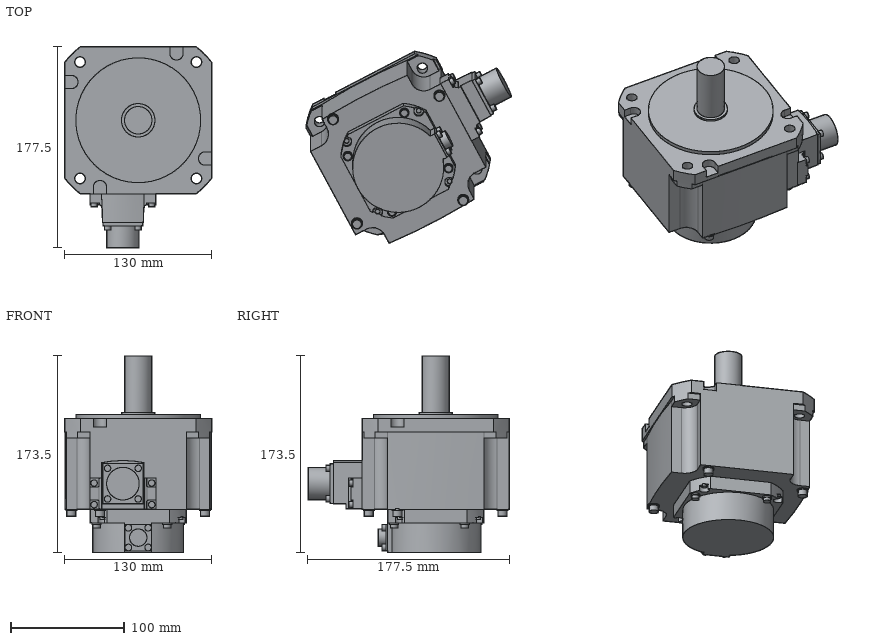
import cadquery as cq
import math


OVERALL_DEPTH = 177.5
OVERALL_HEIGHT = 173.5

FLANGE_WIDTH = 130.0
FLANGE_THICKNESS = 11.9
FLANGE_CORNER_RADIUS = 82.5
PILOT_RADIUS = 55.0
PILOT_HEIGHT = 3.5
COLLAR_RADIUS = 14.7
COLLAR_HEIGHT = 1.8
SHAFT_RADIUS = 12.0
SHAFT_LENGTH = 55.2
MOUNT_HOLE_OFFSET = 51.3
MOUNT_HOLE_DIAMETER = 9.0

BODY_BOTTOM = -80.2
BODY_MIDDLE_HALF = 64.6
BODY_EDGE_HALF = 63.0
SIDE_FACE_HALF = 42.5
RECESS_TOP = -17.4
RECESS_RADIUS = 11.7

TIE_BOLT_ACROSS = 33.7
TIE_BOLT_OUT = 59.0
TIE_SLOT_WIDTH = 11.7
TIE_SLOT_DEPTH = 7.6
TIE_HEAD_DIAMETER = 8.2
TIE_HEAD_HEIGHT = 6.0
TIE_WASHER_DIAMETER = 9.8
TIE_WASHER_HEIGHT = 1.0

ENCODER_FLANGE_BOTTOM = -92.1
ENCODER_CORNER_RADIUS = 50.5
COVER_BOTTOM = SHAFT_LENGTH - OVERALL_HEIGHT
COVER_RADIUS = 40.1
COVER_SCREW = (-36.7, -25.5)
COVER_HEAD_DIAMETER = 6.5
COVER_HEAD_HEIGHT = 4.3
COVER_WASHER_DIAMETER = 8.2
COVER_WASHER_HEIGHT = 1.5
NOTCH_CENTRE = (-31.6, -37.3)
NOTCH_DIAMETER = 8.5
NOTCH_DEPTH = 4.8
NOTCH_SCREW_DIAMETER = 4.3
NOTCH_SCREW_HEIGHT = 1.6

ENCODER_PAD_WIDTH = 23.8
ENCODER_PLATE_WIDTH = 23.5
ENCODER_PLATE_THICKNESS = 1.6
ENCODER_PLUG_Z = -105.0
ENCODER_PLUG_RADIUS = 7.6
ENCODER_PLUG_REACH = 8.3
ENCODER_SCREW_OFFSET = 8.7
ENCODER_HEAD_DIAMETER = 5.9
ENCODER_HEAD_HEIGHT = 3.4

POWER_X = -13.5
POWER_BOTTOM = -79.7
EAR_HALF_LENGTH = 29.1
EAR_TOP = -52.7
EAR_FRONT = -74.5
EAR_FILLET = 2.3
EAR_POCKET_WIDTH = 8.3
EAR_POCKET_HEIGHT = 7.8
EAR_POCKET_DEPTH = 1.8
EAR_POCKET_RADIUS = 2.1
EAR_SCREW_OFFSET = 25.4
EAR_SCREW_HEIGHTS = (-57.0, -76.0)
EAR_HEAD_DIAMETER = 5.7
EAR_HEAD_HEIGHT = 3.5
HOUSING_ROOT_HALF = 18.8
HOUSING_FRONT_HALF = 18.1
HOUSING_FRONT = -90.2
HOUSING_SHOULDER = -39.0
HOUSING_CROWN = -37.1
UNDERCUT_START = -79.2
UNDERCUT_TOP = -75.3
PLUG_Z = -57.5
PLUG_PLATE_WIDTH = 35.1
PLUG_PLATE_THICKNESS = 2.8
PLUG_RADIUS = 14.4
PLUG_SCREW_OFFSET = 13.5
PLUG_HEAD_DIAMETER = 5.7
PLUG_HEAD_HEIGHT = 3.9

FLANGE_HALF = FLANGE_WIDTH / 2
PLUG_END = FLANGE_HALF - OVERALL_DEPTH
EMBED = 0.9
QUARTER_TURNS = (0, 90, 180, 270)
CORNER_SIGNS = [(sx, sy) for sx in (-1, 1) for sy in (-1, 1)]


def box(x_min, x_max, y_min, y_max, z_min, z_max):
    size = (x_max - x_min, y_max - y_min, z_max - z_min)
    return cq.Workplane("XY").box(*size, centered=False).translate((x_min, y_min, z_min))


def upright_cylinder(radius, z_min, z_max, x=0, y=0):
    return cq.Workplane("XY", origin=(x, y, z_min)).circle(radius).extrude(z_max - z_min)


def forward_cylinder(radius, y_back, y_front, x, z):
    """Cylinder along Y, running from y_back towards -Y."""
    return cq.Workplane("XZ", origin=(x, y_back, z)).circle(radius).extrude(y_back - y_front)


def rounded_square(half_width, corner_radius, z_min, z_max):
    """Square plate whose corners are turned to a circle about the shaft axis."""
    square = box(-half_width, half_width, -half_width, half_width, z_min, z_max)
    return square.intersect(upright_cylinder(corner_radius, z_min, z_max))


def four_around(feature):
    """Four copies of a feature, a quarter turn apart about the shaft axis."""
    copies = feature
    for angle in QUARTER_TURNS[1:]:
        copies = copies.union(feature.rotate((0, 0, 0), (0, 0, 1), angle))
    return copies


def hanging_screw(x, y, face_z, head_diameter, head_height, washer_diameter, washer_height):
    """Screw head and washer below a downward face."""
    head = upright_cylinder(head_diameter / 2, face_z - head_height, face_z + EMBED, x, y)
    washer = upright_cylinder(washer_diameter / 2, face_z - washer_height, face_z + EMBED, x, y)
    return head.union(washer)


def flange_and_shaft():
    flange = rounded_square(FLANGE_HALF, FLANGE_CORNER_RADIUS, -FLANGE_THICKNESS, 0)
    pilot = upright_cylinder(PILOT_RADIUS, 0, PILOT_HEIGHT)
    collar = upright_cylinder(COLLAR_RADIUS, 0, PILOT_HEIGHT + COLLAR_HEIGHT)
    shaft = upright_cylinder(SHAFT_RADIUS, 0, SHAFT_LENGTH)
    return flange.union(pilot).union(collar).union(shaft)


def motor_body():
    """Body with bulged left and right sides, flat front and back, and recessed corners."""
    core = (
        cq.Workplane("XY", origin=(0, 0, BODY_BOTTOM))
        .moveTo(-BODY_EDGE_HALF, -SIDE_FACE_HALF)
        .lineTo(-SIDE_FACE_HALF, -SIDE_FACE_HALF)
        .lineTo(-SIDE_FACE_HALF, -FLANGE_HALF)
        .lineTo(SIDE_FACE_HALF, -FLANGE_HALF)
        .lineTo(SIDE_FACE_HALF, -SIDE_FACE_HALF)
        .lineTo(BODY_EDGE_HALF, -SIDE_FACE_HALF)
        .threePointArc((BODY_MIDDLE_HALF, 0), (BODY_EDGE_HALF, SIDE_FACE_HALF))
        .lineTo(SIDE_FACE_HALF, SIDE_FACE_HALF)
        .lineTo(SIDE_FACE_HALF, FLANGE_HALF)
        .lineTo(-SIDE_FACE_HALF, FLANGE_HALF)
        .lineTo(-SIDE_FACE_HALF, SIDE_FACE_HALF)
        .lineTo(-BODY_EDGE_HALF, SIDE_FACE_HALF)
        .threePointArc((-BODY_MIDDLE_HALF, 0), (-BODY_EDGE_HALF, -SIDE_FACE_HALF))
        .close()
        .extrude(-FLANGE_THICKNESS - BODY_BOTTOM)
    )
    for sx, sy in CORNER_SIGNS:
        inner_corner = cq.selectors.NearestToPointSelector(
            (sx * SIDE_FACE_HALF, sy * SIDE_FACE_HALF, (BODY_BOTTOM - FLANGE_THICKNESS) / 2)
        )
        core = core.edges("|Z").edges(inner_corner).fillet(RECESS_RADIUS)
    corner_pads = rounded_square(BODY_EDGE_HALF, FLANGE_CORNER_RADIUS, RECESS_TOP, -FLANGE_THICKNESS)
    return core.union(corner_pads)


def mounting_holes():
    hole = upright_cylinder(
        MOUNT_HOLE_DIAMETER / 2, RECESS_TOP, 0, MOUNT_HOLE_OFFSET, MOUNT_HOLE_OFFSET
    )
    return four_around(hole)


def tie_bolt_slots():
    """Round-ended pockets in the flange, open to its sides."""
    half = TIE_SLOT_WIDTH / 2
    end = upright_cylinder(half, -TIE_SLOT_DEPTH, 0, -TIE_BOLT_ACROSS, -TIE_BOLT_OUT)
    opening = box(
        -TIE_BOLT_ACROSS - half, -TIE_BOLT_ACROSS + half, -FLANGE_HALF, -TIE_BOLT_OUT, -TIE_SLOT_DEPTH, 0
    )
    return four_around(end.union(opening))


def tie_bolts():
    return four_around(hanging_screw(
        -TIE_BOLT_ACROSS, -TIE_BOLT_OUT, BODY_BOTTOM,
        TIE_HEAD_DIAMETER, TIE_HEAD_HEIGHT, TIE_WASHER_DIAMETER, TIE_WASHER_HEIGHT,
    ))


def encoder():
    """Encoder flange with notched corners, round cover and the pad for its connector."""
    flange = rounded_square(SIDE_FACE_HALF, ENCODER_CORNER_RADIUS, ENCODER_FLANGE_BOTTOM, BODY_BOTTOM)
    notch_top = ENCODER_FLANGE_BOTTOM + NOTCH_DEPTH
    notch = upright_cylinder(NOTCH_DIAMETER / 2, ENCODER_FLANGE_BOTTOM, notch_top, *NOTCH_CENTRE)
    notch_screw = upright_cylinder(
        NOTCH_SCREW_DIAMETER / 2, notch_top - NOTCH_SCREW_HEIGHT, notch_top + EMBED, *NOTCH_CENTRE
    )
    cover = upright_cylinder(COVER_RADIUS, COVER_BOTTOM, ENCODER_FLANGE_BOTTOM)
    pad_half = ENCODER_PAD_WIDTH / 2
    pad = box(-pad_half, pad_half, -SIDE_FACE_HALF, 0, COVER_BOTTOM, ENCODER_FLANGE_BOTTOM)
    screws = four_around(hanging_screw(
        *COVER_SCREW, ENCODER_FLANGE_BOTTOM,
        COVER_HEAD_DIAMETER, COVER_HEAD_HEIGHT, COVER_WASHER_DIAMETER, COVER_WASHER_HEIGHT,
    ))
    flange = flange.cut(four_around(notch)).union(four_around(notch_screw))
    return flange.union(cover).union(pad).union(screws)


def square_plug(x, z, seat_y, plate_width, plate_thickness, plug_radius, plug_end,
                screw_offset, head_diameter, head_height):
    """Square plate on a forward face, with a round plug and four corner screw heads."""
    half = plate_width / 2
    plate_front = seat_y - plate_thickness
    plug = box(x - half, x + half, plate_front, seat_y + EMBED, z - half, z + half)
    plug = plug.union(forward_cylinder(plug_radius, seat_y, plug_end, x, z))
    for sx, sz in CORNER_SIGNS:
        plug = plug.union(forward_cylinder(
            head_diameter / 2, seat_y, plate_front - head_height,
            x + sx * screw_offset, z + sz * screw_offset,
        ))
    return plug


def encoder_plug():
    return square_plug(
        0, ENCODER_PLUG_Z, -SIDE_FACE_HALF, ENCODER_PLATE_WIDTH, ENCODER_PLATE_THICKNESS,
        ENCODER_PLUG_RADIUS, -SIDE_FACE_HALF - ENCODER_PLUG_REACH,
        ENCODER_SCREW_OFFSET, ENCODER_HEAD_DIAMETER, ENCODER_HEAD_HEIGHT,
    )


def power_housing():
    """Tapered connector housing with a crowned top and an undercut at its front lower edge."""
    root = -FLANGE_HALF + EMBED
    plan = (
        cq.Workplane("XY", origin=(POWER_X, 0, POWER_BOTTOM))
        .polyline([
            (-HOUSING_ROOT_HALF, root), (HOUSING_ROOT_HALF, root),
            (HOUSING_FRONT_HALF, HOUSING_FRONT), (-HOUSING_FRONT_HALF, HOUSING_FRONT),
        ])
        .close()
        .extrude(HOUSING_CROWN - POWER_BOTTOM)
    )
    crowned_face = (
        cq.Workplane("XZ", origin=(POWER_X, root, 0))
        .moveTo(-HOUSING_ROOT_HALF, POWER_BOTTOM)
        .lineTo(HOUSING_ROOT_HALF, POWER_BOTTOM)
        .lineTo(HOUSING_ROOT_HALF, HOUSING_SHOULDER)
        .threePointArc((0, HOUSING_CROWN), (-HOUSING_ROOT_HALF, HOUSING_SHOULDER))
        .close()
        .extrude(root - HOUSING_FRONT)
    )
    undercut = box(
        POWER_X - HOUSING_ROOT_HALF, POWER_X + HOUSING_ROOT_HALF,
        HOUSING_FRONT, UNDERCUT_START, POWER_BOTTOM, UNDERCUT_TOP,
    )
    return plan.intersect(crowned_face).cut(undercut)


def ear_fillet(side):
    """Concave strip between an ear and the housing side; side is -1 or +1."""
    wall = POWER_X + side * HOUSING_FRONT_HALF
    foot = POWER_X + side * (HOUSING_ROOT_HALF + EAR_FILLET)
    arc_drop = EAR_FILLET * (1 - math.sqrt(0.5))
    edge = POWER_X + side * HOUSING_ROOT_HALF
    return (
        cq.Workplane("XY", origin=(0, 0, POWER_BOTTOM))
        .moveTo(wall, EAR_FRONT + EMBED)
        .lineTo(foot, EAR_FRONT + EMBED)
        .lineTo(foot, EAR_FRONT)
        .threePointArc((edge + side * arc_drop, EAR_FRONT - arc_drop), (edge, EAR_FRONT - EAR_FILLET))
        .lineTo(wall, EAR_FRONT - EAR_FILLET)
        .close()
        .extrude(EAR_TOP - POWER_BOTTOM)
    )


def ear_pocket(side, z_min, z_max, rounded_edge):
    """Screw seat in an ear corner, rounded at its one inner corner."""
    outer = POWER_X + side * EAR_HALF_LENGTH
    inner = outer - side * EAR_POCKET_WIDTH
    pocket = box(
        min(outer, inner), max(outer, inner),
        EAR_FRONT, EAR_FRONT + EAR_POCKET_DEPTH, z_min, z_max,
    )
    inner_face = "<X" if side > 0 else ">X"
    return pocket.faces(inner_face).edges(rounded_edge).fillet(EAR_POCKET_RADIUS)


def power_connector():
    ears = box(
        POWER_X - EAR_HALF_LENGTH, POWER_X + EAR_HALF_LENGTH,
        EAR_FRONT, -FLANGE_HALF + EMBED, POWER_BOTTOM, EAR_TOP,
    )
    seat_y = EAR_FRONT + EAR_POCKET_DEPTH
    for side in (-1, 1):
        ears = ears.cut(ear_pocket(side, EAR_TOP - EAR_POCKET_HEIGHT, EAR_TOP, "<Z"))
        ears = ears.cut(ear_pocket(side, POWER_BOTTOM, POWER_BOTTOM + EAR_POCKET_HEIGHT, ">Z"))
        for z in EAR_SCREW_HEIGHTS:
            ears = ears.union(forward_cylinder(
                EAR_HEAD_DIAMETER / 2, seat_y + EMBED, seat_y - EAR_HEAD_HEIGHT,
                POWER_X + side * EAR_SCREW_OFFSET, z,
            ))
        ears = ears.union(ear_fillet(side))
    plug = square_plug(
        POWER_X, PLUG_Z, HOUSING_FRONT, PLUG_PLATE_WIDTH, PLUG_PLATE_THICKNESS,
        PLUG_RADIUS, PLUG_END, PLUG_SCREW_OFFSET, PLUG_HEAD_DIAMETER, PLUG_HEAD_HEIGHT,
    )
    return ears.union(power_housing()).union(plug)


motor = flange_and_shaft().union(motor_body())
motor = motor.cut(mounting_holes()).cut(tie_bolt_slots())
motor = motor.union(tie_bolts()).union(encoder()).union(encoder_plug())
result = motor.union(power_connector())